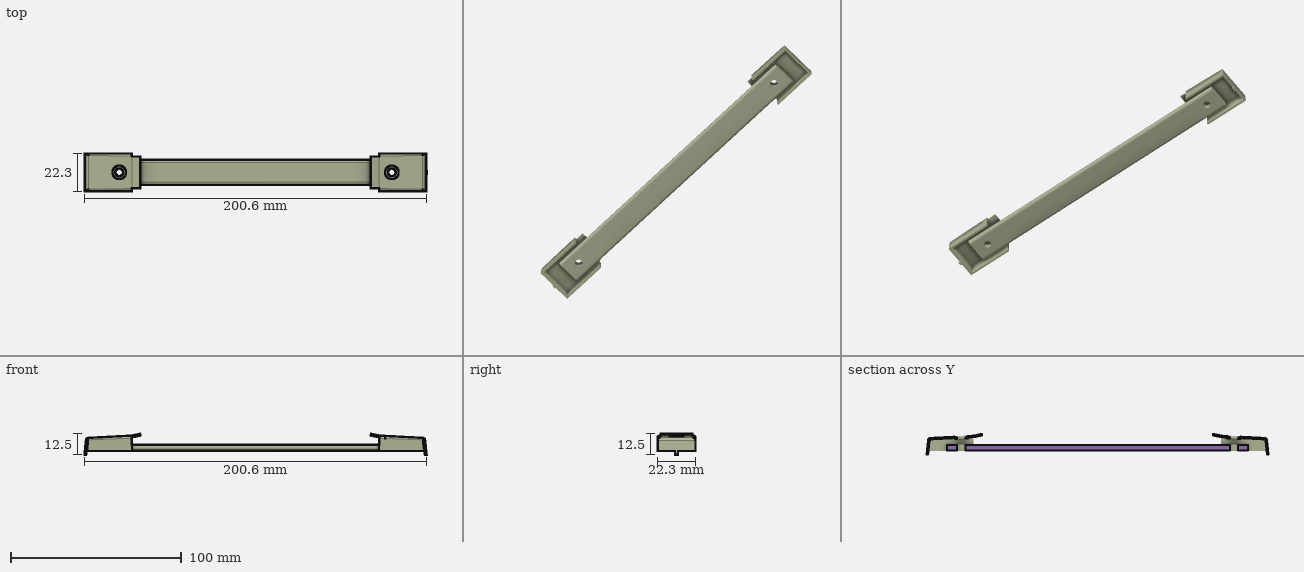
import cadquery as cq
import math

half_length = 100.3
total_height = 12.5

strap_width = 15.0
strap_thickness = 3.6
strap_bottom = 0.2
strap_half_length = 88.3

sheet = 1.1
cap_width = 22.3
half_width = cap_width / 2
cap_inner_x = 72.5
cap_inner_height = 9.2
top_slope = math.tan(math.radians(3.0))
end_lean = math.tan(math.radians(6.0))
end_bend_radius = 1.8
side_bend_inner_radius = 1.6
side_bend_outer_radius = 1.2
seam_gap = 0.1

lip_tip_x = 67.5
lip_tip_height = 10.2
lip_width = 18.7

tab_width = 1.8
tab_bottom = lip_tip_height - total_height

hole_x = 79.9
hole_diameter = 4.5
countersink_diameter = 8.0
countersink_depth = 1.0
collar_depth = 1.6


def end_face_x(z, depth=0.0):
    """X of the leaning end face at height z, or of a plane parallel to it at a depth inside."""
    return half_length - (z - tab_bottom) * end_lean - depth * math.hypot(1, end_lean)


def top_height(x, depth=0.0):
    """Height of the sloping top face at x, or of a plane parallel to it at a depth inside."""
    return cap_inner_height - (x - cap_inner_x) * top_slope - depth * math.hypot(1, top_slope)


def top_corner(depth):
    """Sharp corner (x, z) between the top plane and the end plane, both at a depth inside."""
    x_at_zero = end_face_x(0, depth)
    x = (x_at_zero - top_height(0, depth) * end_lean) / (1 - top_slope * end_lean)
    return x, top_height(x, depth)


def prism(points, width):
    """Solid of an XZ outline, centred on the XZ plane."""
    return cq.Workplane("XZ").polyline(points).close().extrude(width / 2, both=True)


def bend_section(x, radius, depth):
    """Cross-section of the cap at x with both upper corners rounded, at a depth inside."""
    side = half_width - depth
    top = top_height(x, depth)
    bend = radius - depth
    flat = side - bend
    shoulder = top - bend
    diagonal = bend * math.sqrt(0.5)
    return (
        cq.Workplane("YZ", origin=(x, 0, 0))
        .moveTo(-side, 0)
        .lineTo(-side, shoulder)
        .threePointArc((-flat - diagonal, shoulder + diagonal), (-flat, top))
        .lineTo(flat, top)
        .threePointArc((flat + diagonal, shoulder + diagonal), (side, shoulder))
        .lineTo(side, 0)
        .close()
        .val()
    )


def rounded_bar(depth):
    """Bar along the sloping top whose side bends tighten toward the handle's end."""
    sections = [
        bend_section(cap_inner_x, side_bend_inner_radius, depth),
        bend_section(half_length, side_bend_outer_radius, depth),
    ]
    return cq.Workplane(cq.Solid.makeLoft(sections, True))


def rounded_end(depth):
    """Full-width block with the leaning end and its bend rounded at a depth inside."""
    outline = [
        (cap_inner_x, 0),
        (end_face_x(0, depth), 0),
        top_corner(depth),
        (cap_inner_x, top_height(cap_inner_x, depth)),
    ]
    block = prism(outline, cap_width)
    corner_x, corner_z = top_corner(depth)
    corner_edge = cq.NearestToPointSelector((corner_x, 0, corner_z))
    return block.edges(corner_edge).fillet(end_bend_radius - depth)


def cap_block(depth):
    """The cap's outside as a solid, or its inside when depth is the sheet thickness."""
    return rounded_bar(depth).intersect(rounded_end(depth))


def seam_cutter():
    """Slits that part the side flaps from the end flap, up to the side bends."""
    top = top_corner(0)[1] - side_bend_outer_radius
    return prism(
        [
            (end_face_x(0, sheet), 0),
            (end_face_x(top, sheet), top),
            (end_face_x(top, sheet + seam_gap), top),
            (end_face_x(0, sheet + seam_gap), 0),
        ],
        cap_width,
    )


def lip():
    """Sheet rising from the open end to a tip cut square to it."""
    run = cap_inner_x - lip_tip_x
    rise = lip_tip_height - cap_inner_height
    length = math.hypot(run, rise)
    drop_x = sheet * rise / length
    drop_z = sheet * run / length
    return prism(
        [
            (cap_inner_x, cap_inner_height),
            (lip_tip_x + drop_x, lip_tip_height),
            (lip_tip_x, lip_tip_height - drop_z),
            (cap_inner_x, cap_inner_height - sheet),
        ],
        lip_width,
    )


def tab():
    """Narrow strip that carries the end flap on below its foot."""
    return prism(
        [
            (end_face_x(0), 0),
            (end_face_x(tab_bottom), tab_bottom),
            (end_face_x(tab_bottom, sheet), tab_bottom),
            (end_face_x(0, sheet), 0),
        ],
        tab_width,
    )


def hole_axis_plane():
    """Plane on the top face at the hole, with its normal pointing down into the cap."""
    centre = (hole_x, 0, top_height(hole_x))
    return cq.Plane(origin=centre, xDir=(0, 1, 0), normal=(-top_slope, 0, -1))


def collar():
    """Round boss under the top sheet that carries the lower part of the hole."""
    start = sheet / 2
    face = cq.Workplane(hole_axis_plane()).workplane(offset=start)
    return face.circle(countersink_diameter / 2).extrude(collar_depth - start)


def countersink():
    """Cone from the top face down to the cylindrical part of the hole."""
    cone = cq.Workplane(hole_axis_plane()).circle(countersink_diameter / 2)
    return cone.workplane(offset=countersink_depth).circle(hole_diameter / 2).loft()


def screw_hole(x):
    """Upright cylinder at x, tall enough to pass through cap and strap."""
    return cq.Workplane("XY").center(x, 0).circle(hole_diameter / 2).extrude(total_height)


def make_end_cap(side):
    """End cap at the +X end (side = 1), or its mirror image at the -X end (side = -1)."""
    cap = cap_block(0).cut(cap_block(sheet)).cut(seam_cutter())
    cap = cap.union(lip()).union(tab()).union(collar())
    cap = cap.cut(countersink()).cut(screw_hole(hole_x))
    return cap if side > 0 else cap.mirror("YZ")


def make_strap():
    """Strap lying under both caps, with a screw hole near each end."""
    section = cq.Workplane("YZ").slot2D(strap_width, strap_thickness)
    strap = section.extrude(strap_half_length, both=True)
    strap = strap.translate((0, 0, strap_bottom + strap_thickness / 2))
    return strap.cut(screw_hole(hole_x)).cut(screw_hole(-hole_x))


strap = make_strap()
end_caps = [make_end_cap(side) for side in (-1, 1)]

result = cq.Compound.makeCompound([strap.val(), *(cap.val() for cap in end_caps)])